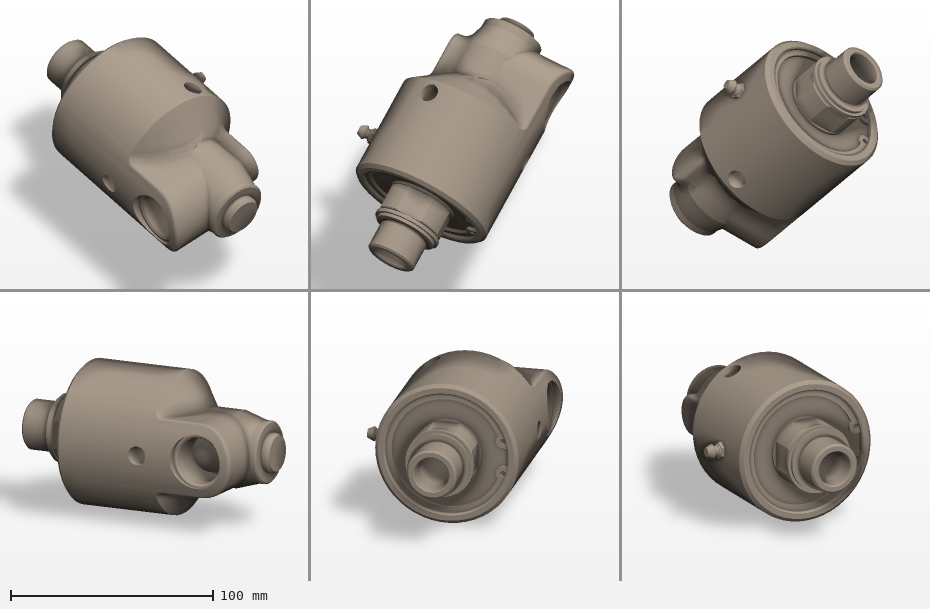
import cadquery as cq
import math


thread_radius = 25.3 / 2
thread_chamfer = 1.0
neck_start = 14.3
neck_radius = 11.6
collar_start = 15.5
collar_radius = 31.7 / 2
flange_start = 17.2
flange_end = 19.0
flange_radius = 34.7 / 2
groove_end = 19.5
flats_end = 33.5
flat_width = 31.7
flat_corner_chamfer = 0.5
bore_radius = 17.5 / 2
bore_chamfer = 0.5

body_start = 31.2
body_end = 83.5
body_radius = 73.0 / 2
body_chamfer = 1.8
barrel_start = 97.1
barrel_end = 115.2
barrel_radius = 19.6
tail_start = 127.8
tail_end = 132.0
tail_radius = collar_radius
tail_chamfer = 0.8
plug_end = 136.2
plug_radius = 10.1
plug_chamfer_length = 1.8
plug_chamfer_height = 1.1
root_fillet = 5.6

core_radius = collar_radius

recess_radius = 62.5 / 2
recess_chamfer = 0.7
recess_depth = 3.7
ring_thickness = 1.6
ring_inner_radius = 28.2
ear_radius = 3.7
ear_hole_radius = 2.9 / 2
ear_y = -28.5
ear_z = 8.5
ring_gap = 2 * (ear_z - ear_radius)

port_x = 108.7
boss_end_x = 109.0
port_boss_radius = 19.1
port_edge_fillet = 1.6
port_rim_start = 85.1
port_recess_radius = 27.8 / 2
port_recess_floor = 32.7
port_seat_radius = 25.3 / 2
port_hole_radius = 23.4 / 2
port_seat_half_height = 10.2
port_depth_y = -10.2

back_boss_radius = 10.4
back_boss_height = 25.3
back_edge_fillet = 2.0
back_root_fillet = 6.0

drain_x = 76.4
drain_radius = 4.8
drain_count = 3

nipple_x = 52.6
nipple_hex_corners = 8.6
nipple_hex_top = 38.1
nipple_top = 81.3 - body_radius
nipple_shoulder_radius = 3.3
nipple_shoulder_end = 38.7
nipple_neck_radius = 2.6
nipple_neck_start = 39.2
nipple_neck_end = 40.5
nipple_ridge_radius = 3.7
nipple_ridge_start = 41.4
nipple_ridge_end = 41.8
nipple_tip_radius = 2.3


def turned(points):
    """Revolve an (x, radius) outline around the X axis."""
    return cq.Workplane("XY").polyline(points).close().revolve(360, (0, 0, 0), (1, 0, 0))


def rod(radius, start, end):
    """Cylinder on the X axis."""
    return cq.Workplane("YZ", origin=(start, 0, 0)).circle(radius).extrude(end - start)


def side_cylinder(x, radius, y_start, y_end):
    """Cylinder parallel to Y at height Z = 0."""
    plane = cq.Workplane("XZ", origin=(x, y_start, 0))
    return plane.circle(radius).extrude(y_start - y_end)


def side_boss(radius, y_start, y_end):
    """Boss parallel to Y, round on its +X end and running straight back into the housing."""
    length = boss_end_x - body_end
    bar = cq.Workplane("XY").box(length, abs(y_end - y_start), 2 * radius)
    bar = bar.translate((boss_end_x - length / 2, (y_start + y_end) / 2, 0))
    return bar.union(side_cylinder(boss_end_x, radius, y_start, y_end))


def edges_inside(body, low, high):
    """Edges of the body that lie wholly inside the box between two corners."""
    return body.edges(cq.selectors.BoxSelector(low, high, boundingbox=True))


def make_housing():
    housing = turned([
        (body_start, 0),
        (body_start, body_radius - body_chamfer),
        (body_start + body_chamfer, body_radius),
        (body_end, body_radius),
        (barrel_start, barrel_radius),
        (barrel_end, barrel_radius),
        (tail_start, tail_radius),
        (tail_end - tail_chamfer, tail_radius),
        (tail_end, tail_radius - tail_chamfer),
        (tail_end, plug_radius),
        (plug_end - plug_chamfer_length, plug_radius),
        (plug_end, plug_radius - plug_chamfer_height),
        (plug_end, 0),
    ])
    port_boss = side_boss(port_boss_radius, 0, -body_radius - 1.4)
    port_boss = port_boss.intersect(rod(body_radius, body_start + body_chamfer, plug_end))
    back_boss = side_boss(back_boss_radius, 0, back_boss_height)
    back_boss = back_boss.faces(">Y").edges("not <X").fillet(back_edge_fillet)
    housing = housing.union(port_boss)

    margin = 0.1
    half_height = port_boss_radius + margin
    cone_foot = edges_inside(
        housing,
        (body_end - margin, -body_radius, -half_height),
        (barrel_start + margin, barrel_radius + margin, half_height),
    )
    housing = cone_foot.fillet(root_fillet)

    front = housing.intersect(rod(body_radius + 1.4, 0, port_rim_start))
    rear = housing.cut(front)
    flat_edge_y = -math.sqrt(body_radius**2 - port_boss_radius**2)
    rim = edges_inside(
        rear,
        (port_rim_start - margin, -body_radius - margin, -half_height - 1.4),
        (boss_end_x + half_height, flat_edge_y + 1.4, half_height + 1.4),
    )
    rim = rim.edges(cq.selectors.BoxSelector(
        (port_rim_start + margin, -body_radius, -body_radius),
        (plug_end, 0, body_radius),
    ))
    housing = front.union(rim.fillet(port_edge_fillet))

    housing = housing.union(back_boss)
    back_half_height = back_boss_radius + margin
    back_foot = edges_inside(
        housing,
        (body_end + margin, tail_radius, -back_half_height),
        (barrel_start - margin, back_boss_height + margin, back_half_height),
    )
    back_foot = back_foot.add(edges_inside(
        housing,
        (barrel_start - 2.7, tail_radius, -back_half_height),
        (boss_end_x + back_half_height, barrel_radius, back_half_height),
    ))
    return back_foot.fillet(back_root_fillet)


def cut_recess(housing):
    """Open the front of the housing for the retaining ring and the shaft."""
    recess_floor = body_start + recess_depth
    recess = turned([
        (body_start, 0),
        (body_start, recess_radius + recess_chamfer),
        (body_start + recess_chamfer, recess_radius),
        (recess_floor, recess_radius),
        (recess_floor, 0),
    ])
    return housing.cut(recess)


def make_retaining_ring():
    """Open ring with two drilled ears, lying on the recess floor."""
    start = body_start + recess_depth - ring_thickness
    plane = cq.Workplane("YZ", origin=(start, 0, 0))
    ears = [(ear_y, -ear_z), (ear_y, ear_z)]
    ring = plane.circle(recess_radius).circle(ring_inner_radius).extrude(ring_thickness)
    gap = cq.Workplane("XY").box(2 * ring_thickness, recess_radius, ring_gap)
    ring = ring.cut(gap.translate((start + ring_thickness / 2, -recess_radius, 0)))
    ear_discs = plane.pushPoints(ears).circle(ear_radius).extrude(ring_thickness)
    ear_discs = ear_discs.intersect(plane.circle(recess_radius).extrude(ring_thickness))
    holes = plane.pushPoints(ears).circle(ear_hole_radius).extrude(ring_thickness)
    return ring.union(ear_discs).cut(holes)


def make_shaft():
    """Threaded shaft end with a flange and four wrench flats."""
    shaft_end = body_start + recess_depth
    groove_radius = flat_width / 2
    corner_radius = flange_radius - flat_corner_chamfer
    shaft = turned([
        (0, 0),
        (0, thread_radius - thread_chamfer),
        (thread_chamfer, thread_radius),
        (neck_start, thread_radius),
        (neck_start, neck_radius),
        (collar_start, neck_radius),
        (collar_start, collar_radius),
        (flange_start, collar_radius),
        (flange_start, flange_radius),
        (flange_end, flange_radius),
        (flange_end, groove_radius),
        (groove_end, groove_radius),
        (groove_end, corner_radius),
        (groove_end + flat_corner_chamfer, flange_radius),
        (flats_end - flat_corner_chamfer, flange_radius),
        (flats_end, corner_radius),
        (flats_end, flange_radius),
        (shaft_end, flange_radius),
        (shaft_end, 0),
    ])
    flats_length = flats_end - groove_end
    square = cq.Workplane("XY").box(flats_length, flat_width, flat_width)
    sleeve = rod(flange_radius + 1.4, groove_end, flats_end)
    flats = sleeve.cut(square.translate((groove_end + flats_length / 2, 0, 0)))
    return shaft.cut(flats)


def make_bore():
    """Blind bore in the shaft with a small entry chamfer."""
    return turned([
        (0, 0),
        (0, bore_radius + bore_chamfer),
        (bore_chamfer, bore_radius),
        (body_end, bore_radius),
        (body_end, 0),
    ])


def make_port():
    """Stepped side port whose floor is the core, relieved above and below it."""
    counterbore = side_cylinder(port_x, port_recess_radius, -body_radius, -port_recess_floor)
    lead_in = port_seat_radius - port_hole_radius
    hole = side_cylinder(port_x, port_hole_radius, -port_recess_floor, port_depth_y)
    seat = cq.Workplane("XZ", origin=(port_x, -port_recess_floor + lead_in, 0))
    seat = seat.circle(port_hole_radius).workplane(offset=lead_in).circle(port_seat_radius).loft()
    floor = rod(core_radius, body_end, tail_end)
    slab = cq.Workplane("XY").box(2 * plug_end, 2 * core_radius, 2 * port_seat_half_height)
    return counterbore.union(hole).union(seat).cut(floor.intersect(slab))


def make_drains():
    """Radial holes, evenly spaced, that end on the core."""
    hole = side_cylinder(drain_x, drain_radius, -body_radius - 1.4, 0)
    drains = cq.Workplane("XY")
    for index in range(drain_count):
        angle = 360 * index / drain_count
        drains = drains.union(hole.rotate((0, 0, 0), (1, 0, 0), angle))
    return drains.cut(rod(core_radius, body_start, body_end))


def make_nipple():
    """Grease nipple: hexagon foot under a waisted, ridged head."""
    foot_y = body_radius - 1.4
    plane = cq.Workplane("XZ", origin=(nipple_x, foot_y, 0)).transformed(rotate=(0, 0, 90))
    foot = plane.polygon(6, nipple_hex_corners).extrude(foot_y - nipple_hex_top)
    head = (
        cq.Workplane("XY", origin=(nipple_x, 0, 0))
        .moveTo(0, foot_y)
        .lineTo(nipple_shoulder_radius, foot_y)
        .lineTo(nipple_shoulder_radius, nipple_shoulder_end)
        .lineTo(nipple_neck_radius, nipple_neck_start)
        .lineTo(nipple_neck_radius, nipple_neck_end)
        .lineTo(nipple_ridge_radius, nipple_ridge_start)
        .lineTo(nipple_ridge_radius, nipple_ridge_end)
        .lineTo(nipple_tip_radius, nipple_top)
        .lineTo(0, nipple_top)
        .close()
        .revolve(360, (0, 0, 0), (0, 1, 0))
    )
    return foot.union(head)


housing = cut_recess(make_housing())
housing = housing.cut(make_port()).cut(make_drains())
result = (
    housing.union(make_retaining_ring())
    .union(make_shaft())
    .union(make_nipple())
    .cut(make_bore())
)